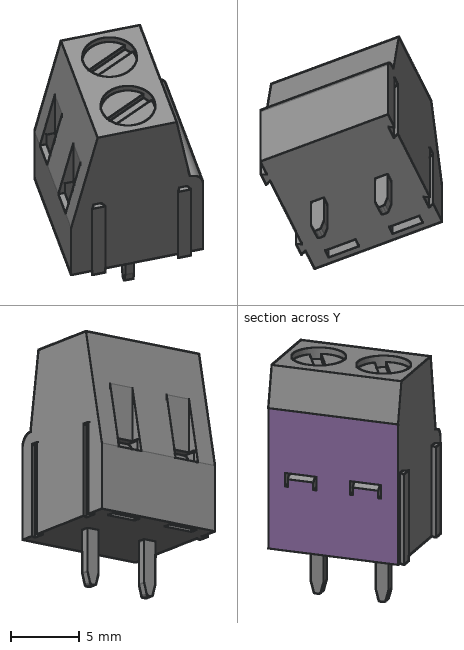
import cadquery as cq
import math

overall_width = 10.57
overall_height = 18.25
pole_count = 2
body_width = 10.17
pitch = body_width / pole_count
body_depth = 10.0
body_height = 14.0
screw_center_y = body_depth / 2

front_wall_height = 5.0
front_slope_inset = 2.0
back_top_inset = 2.0
shoulder_radius = 1.0
shoulder_height = 8.0

screw_diameter = 4.0
screw_recess_depth = 0.5
slot_width = 0.84
slot_depth = 0.4
slot_angle = -62

window_width = 2.0
window_floor_depth = 0.5
window_back_y = 1.13
chamber_width = 2.4
chamber_height = 6.0
lip_radius = chamber_height - front_wall_height

rail_centers_y = (1.99, 8.49)
rail_height = 7.0
rail_neck_width = 0.6
rail_outer_width = 1.0
rail_depth = overall_width - body_width

pin_width = 1.0
pin_thickness = 0.68
pin_length = overall_height - body_height
pin_tip_width = 0.5
pin_taper_length = 0.95
pin_edge_radius = 0.18


def housing():
    """Extruded side profile with a sloped front and a rounded back shoulder."""
    arc_offset = shoulder_radius * (1 - math.sqrt(0.5))
    profile = (
        cq.Workplane("YZ")
        .lineTo(0, front_wall_height)
        .lineTo(front_slope_inset, body_height)
        .lineTo(body_depth - back_top_inset, body_height)
        .lineTo(body_depth - shoulder_radius, shoulder_height)
        .threePointArc(
            (body_depth - arc_offset, shoulder_height - arc_offset),
            (body_depth, shoulder_height - shoulder_radius),
        )
        .lineTo(body_depth, 0)
        .close()
    )
    return profile.extrude(body_width)


def centered_block(width, y_start, y_end, z_start, z_end):
    """Box centered on X = 0 between the given Y and Z limits."""
    block = cq.Workplane("XY").box(
        width, y_end - y_start, z_end - z_start, centered=(True, False, False)
    )
    return block.translate((0, y_start, z_start))


def screw_recess():
    """Round recess with the slanted driver slot sunk into the screw head."""
    head_z = body_height - screw_recess_depth
    slot_z = head_z - slot_depth
    screw_radius = screw_diameter / 2
    recess = cq.Workplane("XY").workplane(offset=head_z).circle(screw_radius).extrude(screw_recess_depth)
    head = cq.Workplane("XY").workplane(offset=slot_z).circle(screw_radius).extrude(slot_depth)
    slot = (
        cq.Workplane("XY")
        .workplane(offset=slot_z)
        .transformed(rotate=(0, 0, slot_angle))
        .rect(screw_diameter, slot_width)
        .extrude(slot_depth)
    )
    return recess.union(head.intersect(slot)).translate((0, screw_center_y, 0))


def wire_opening():
    """Front window, open-bottomed chamber and the gap around the rounded terminal lip."""
    window = centered_block(window_width, 0, window_back_y, front_wall_height, body_height)
    chamber = centered_block(chamber_width, window_floor_depth, window_back_y, 0, chamber_height)
    gap = centered_block(
        chamber_width, window_back_y, window_back_y + lip_radius, front_wall_height, chamber_height
    )
    lip = (
        cq.Workplane("YZ")
        .center(window_back_y + lip_radius, front_wall_height)
        .circle(lip_radius)
        .extrude(window_width / 2, both=True)
    )
    return window.union(chamber).union(gap.cut(lip))


def solder_pin():
    """Flat pin with a tapered, softly rounded tip, hanging below the housing."""
    half_width = pin_width / 2
    half_tip = pin_tip_width / 2
    taper_z = pin_taper_length - pin_length
    outline = [
        (-half_width, 0),
        (-half_width, taper_z),
        (-half_tip, -pin_length),
        (half_tip, -pin_length),
        (half_width, taper_z),
        (half_width, 0),
    ]
    pin = cq.Workplane("XZ").polyline(outline).close().extrude(pin_thickness / 2, both=True)
    pin = pin.edges("|Y and (not >Z)").fillet(pin_edge_radius)
    return pin.translate((0, screw_center_y, 0))


def dovetail(x, y):
    """Upright dovetail with its neck at x, widening toward +X."""
    half_neck = rail_neck_width / 2
    half_outer = rail_outer_width / 2
    outline = [
        (0, -half_neck),
        (rail_depth, -half_outer),
        (rail_depth, half_outer),
        (0, half_neck),
    ]
    return cq.Workplane("XY").polyline(outline).close().extrude(rail_height).translate((x, y, 0))


result = housing()

for pole in range(pole_count):
    pole_center = ((pole + 0.5) * pitch, 0, 0)
    result = result.cut(screw_recess().translate(pole_center))
    result = result.cut(wire_opening().translate(pole_center))
    result = result.union(solder_pin().translate(pole_center))

for rail_y in rail_centers_y:
    result = result.cut(dovetail(0, rail_y))
    result = result.union(dovetail(body_width, rail_y))